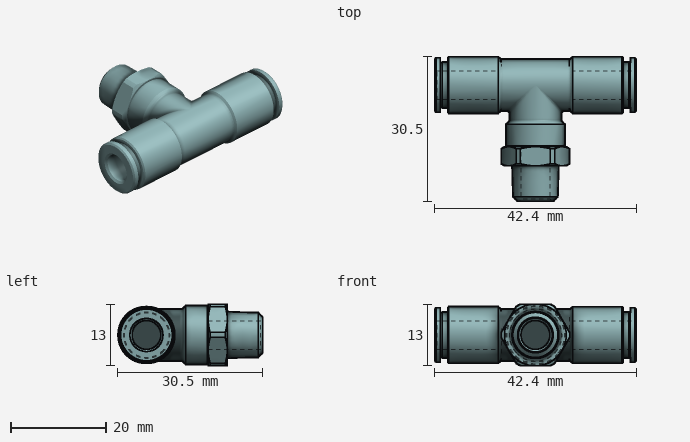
import cadquery as cq
import math

RUN_LENGTH = 42.41
BRANCH_REACH = 24.5

TUBE_RADIUS = 5.5
CROTCH_FILLET = 0.5

SLEEVE_RADIUS = 6.0
SLEEVE_START = 7.85
SLEEVE_END = 18.5
SLEEVE_RIM_CHAMFER = 0.3
SLEEVE_FOOT_FILLET = 0.45

COLLET_NECK_RADIUS = 4.86
COLLET_GROOVE_RADIUS = 4.7
COLLET_GROOVE_WIDTH = 0.35
FLANGE_RADIUS = 5.78
FLANGE_WIDTH = 1.2
FLANGE_CHAMFER = 0.33

COLLAR_RADIUS = 6.23
COLLAR_START = 8.28
COLLAR_END = 12.78
COLLAR_FOOT_FILLET = 0.55
SWIVEL_GAP_RADIUS = 6.05

HEX_ACROSS_FLATS = 13.0
HEX_CORNER_RADIUS = 7.22
HEX_START = 13.0
HEX_END = 17.0
HEX_CHAMFER_ANGLE = 30.0

THREAD_BASE_RADIUS = 4.95
THREAD_TAPER = 1 / 32
THREAD_CHAMFER = 1.0

BORE_RADIUS = 3.04
PORT_MOUTH_CHAMFER = 0.45
PORT_BORE_FLOOR = SLEEVE_START
STUD_MOUTH_CHAMFER = 0.52
STUD_BORE_FLOOR = HEX_START


def stepped_body(foot_fillet, full_radius, full_start, outline):
    """Turn a body along +Z that swells from the tube radius up a 45 degree cone.

    The cone is blended into the tube by foot_fillet and reaches full_radius at
    full_start; outline holds the (radius, distance) corners from there to the end face.
    """
    cone_foot = full_start - (full_radius - TUBE_RADIUS)
    tangent_length = foot_fillet * math.tan(math.radians(45) / 2)
    blend_start = cone_foot - tangent_length
    blend_step = tangent_length * math.sqrt(0.5)
    profile = (
        cq.Workplane("XZ")
        .moveTo(0, blend_start)
        .lineTo(TUBE_RADIUS, blend_start)
        .radiusArc((TUBE_RADIUS + blend_step, cone_foot + blend_step), foot_fillet)
        .lineTo(full_radius, full_start)
    )
    for radius, distance in outline:
        profile = profile.lineTo(radius, distance)
    return profile.lineTo(0, outline[-1][1]).close().revolve(360, (0, 0, 0), (0, 1, 0))


def turned(outline):
    """Turn a solid about Z from the (radius, distance) corners of its outer side."""
    start = (0, outline[0][1])
    end = (0, outline[-1][1])
    return cq.Workplane("XZ").polyline([start, *outline, end]).close().revolve(360, (0, 0, 0), (0, 1, 0))


def along_branch(shape):
    """Turn a shape built along +Z so that it runs along -Y."""
    return shape.rotate((0, 0, 0), (1, 0, 0), 90)


def along_run(shape, side):
    """Turn a shape built along +Z so that it runs along +X (side 1) or -X (side -1)."""
    return shape.rotate((0, 0, 0), (0, 1, 0), 90 * side)


def crossing_tubes():
    """Run tube and branch tube, with the mitred crotch between them rounded."""
    run = cq.Workplane("YZ").circle(TUBE_RADIUS).extrude(SLEEVE_START, both=True)
    branch = along_branch(cq.Workplane("XY").circle(TUBE_RADIUS).extrude(COLLAR_START))
    return run.union(branch).edges("%ELLIPSE").fillet(CROTCH_FILLET)


def sleeve():
    """Push-in sleeve with its outer rim chamfered."""
    corners = [(SLEEVE_RADIUS, SLEEVE_END)]
    body = stepped_body(SLEEVE_FOOT_FILLET, SLEEVE_RADIUS, SLEEVE_START, corners)
    return body.faces(">Z").edges().chamfer(SLEEVE_RIM_CHAMFER)


def collet():
    """Release collet: neck, narrow groove and flange with a chamfered rim."""
    end = RUN_LENGTH / 2
    flange_start = end - FLANGE_WIDTH
    groove_start = flange_start - COLLET_GROOVE_WIDTH
    return turned([
        (COLLET_NECK_RADIUS, SLEEVE_START),
        (COLLET_NECK_RADIUS, groove_start),
        (COLLET_GROOVE_RADIUS, groove_start),
        (COLLET_GROOVE_RADIUS, flange_start),
        (FLANGE_RADIUS, flange_start),
        (FLANGE_RADIUS, end - FLANGE_CHAMFER),
        (FLANGE_RADIUS - FLANGE_CHAMFER, end),
    ])


def collar():
    """Swivel collar, with the slightly smaller neck that parts it from the hexagon."""
    return stepped_body(COLLAR_FOOT_FILLET, COLLAR_RADIUS, COLLAR_START, [
        (COLLAR_RADIUS, COLLAR_END),
        (SWIVEL_GAP_RADIUS, COLLAR_END),
        (SWIVEL_GAP_RADIUS, HEX_START),
    ])


def hexagon():
    """Hexagon with flats facing +Z and -Z on the part and both rims chamfered."""
    across_corners = HEX_ACROSS_FLATS / math.cos(math.radians(30))
    prism = (
        cq.Workplane("XY", origin=(0, 0, HEX_START))
        .polygon(6, across_corners)
        .extrude(HEX_END - HEX_START)
    )
    rim_radius = HEX_ACROSS_FLATS / 2
    chamfer_height = (HEX_CORNER_RADIUS - rim_radius) * math.tan(math.radians(HEX_CHAMFER_ANGLE))
    envelope = turned([
        (rim_radius, HEX_START),
        (HEX_CORNER_RADIUS, HEX_START + chamfer_height),
        (HEX_CORNER_RADIUS, HEX_END - chamfer_height),
        (rim_radius, HEX_END),
    ])
    return prism.intersect(envelope)


def thread():
    """Tapered thread blank with a 45 degree lead-in chamfer."""
    chamfer_start = BRANCH_REACH - THREAD_CHAMFER
    chamfer_radius = THREAD_BASE_RADIUS - THREAD_TAPER * (chamfer_start - HEX_END)
    return turned([
        (THREAD_BASE_RADIUS, HEX_END),
        (chamfer_radius, chamfer_start),
        (chamfer_radius - THREAD_CHAMFER, BRANCH_REACH),
    ])


def bore(floor, mouth, chamfer):
    """Cutter for a blind bore from floor to mouth with a 45 degree countersink."""
    return turned([
        (BORE_RADIUS, floor),
        (BORE_RADIUS, mouth - chamfer),
        (BORE_RADIUS + chamfer, mouth),
    ])


result = crossing_tubes()
for stage in (collar(), hexagon(), thread()):
    result = result.union(along_branch(stage))
result = result.cut(along_branch(bore(STUD_BORE_FLOOR, BRANCH_REACH, STUD_MOUTH_CHAMFER)))

for side in (1, -1):
    result = result.union(along_run(sleeve(), side)).union(along_run(collet(), side))
    result = result.cut(along_run(bore(PORT_BORE_FLOOR, RUN_LENGTH / 2, PORT_MOUTH_CHAMFER), side))